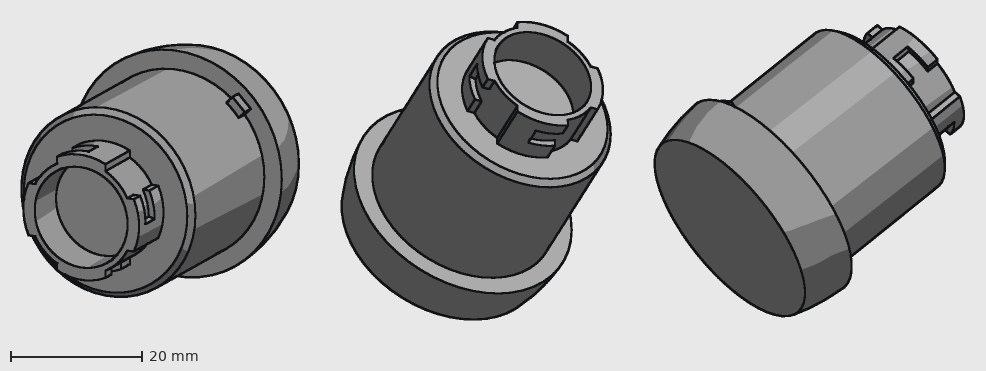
import cadquery as cq
import math

total_length = 40.1
socket_length = 8.0
cap_length = 8.5
cap_front_y = total_length - cap_length

cap_front_radius = 18.0
cap_back_radius = 16.52
cap_bulge = 0.3
body_radius = 30.0 / 2
body_chamfer = 0.92
socket_radius = 9.0
bore_radius = 16.0 / 2
bore_depth = 7.0

lug_count = 4
lug_radius = 10.0
lug_width = 8.35
notch_start_y = 2.1
notch_width = 3.0
notch_wall_inner_x = -0.05
notch_wall_outer_x = 0.25

key_width = 3.0
key_length = 1.95
key_outer_radius = 16.4
key_angle = 45.0


def cylinder(radius, start_y, length):
    """Cylinder on the Y axis, from start_y towards +Y."""
    return cq.Workplane("XZ", origin=(0, start_y, 0)).circle(radius).extrude(-length)


def make_cap():
    """Revolved cap with a bulging side that narrows towards the back."""
    taper = cap_front_radius - cap_back_radius
    side_length = math.hypot(cap_length, taper)
    arc_middle = (
        (cap_front_radius + cap_back_radius) / 2 + cap_bulge * cap_length / side_length,
        cap_front_y + cap_length / 2 + cap_bulge * taper / side_length,
    )
    return (
        cq.Workplane("XY")
        .moveTo(0, cap_front_y)
        .lineTo(cap_front_radius, cap_front_y)
        .threePointArc(arc_middle, (cap_back_radius, total_length))
        .lineTo(0, total_length)
        .close()
        .revolve(360, (0, 0, 0), (0, 1, 0))
    )


def make_body():
    """Main barrel, chamfered at its front edge."""
    body = cylinder(body_radius, socket_length, cap_front_y - socket_length)
    return body.faces("<Y").chamfer(body_chamfer)


def make_lug():
    """Top lug with a notch, open towards -X, that ends in a slanted wall."""
    lug = cq.Workplane("XY").box(lug_width, socket_length, lug_radius, centered=(True, False, False))
    lug = lug.intersect(cylinder(lug_radius, 0, socket_length))
    notch = (
        cq.Workplane("XZ", origin=(0, notch_start_y, 0))
        .moveTo(-lug_width, 0)
        .lineTo(notch_wall_inner_x, 0)
        .lineTo(notch_wall_inner_x, socket_radius)
        .lineTo(notch_wall_outer_x, lug_radius)
        .lineTo(-lug_width, lug_radius)
        .close()
        .extrude(-notch_width)
    )
    return lug.cut(notch)


def make_socket():
    """Hollow socket with evenly spaced bayonet lugs."""
    socket = cylinder(socket_radius, 0, socket_length)
    lug = make_lug()
    for index in range(lug_count):
        socket = socket.union(lug.rotate((0, 0, 0), (0, 1, 0), index * 360 / lug_count))
    return socket


def make_key():
    """Small block on the barrel, against the front of the cap."""
    key = cq.Workplane("XY", origin=(0, cap_front_y - key_length, 0)).box(
        key_width, key_length, key_outer_radius, centered=(True, False, False)
    )
    return key.rotate((0, 0, 0), (0, 1, 0), key_angle)


bore = cylinder(bore_radius, 0, bore_depth)
result = make_cap().union(make_body()).union(make_key()).union(make_socket()).cut(bore)